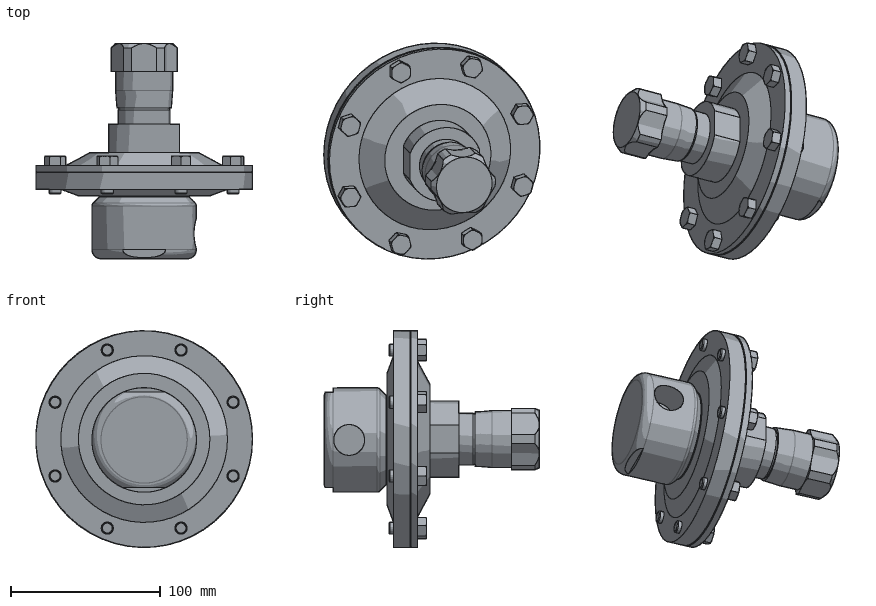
import cadquery as cq
import math


cap_radius = 34.9
cap_drop = 0.6
cap_face_rounding = 6.1
cap_back_rounding = 3.0
cap_bevel_start = 37.4
cap_bevel_end = 41.3
cap_flat_height = 31.9
port_radius = 10.3
port_y = 16.8
port_depth = 2 * port_radius

flange_radius = 72.4
pad_y = 42.0
pad_radius = 43.9
body_cone_radius = 55.6
body_y = 46.3
gasket_y = 57.5
gasket_thickness = 0.6
gasket_radius = 72.0
plate_y = gasket_y + gasket_thickness
plate_back_y = 62.4
cover_cone_radius = 52.1
cover_top_radius = 36.5

collar_y = 70.8
collar_radius = 25.5
collar_half_width = 23.7
neck_y = 89.9
neck_radius = 17.4
neck_chamfer_length = 1.3
neck_chamfer = 0.7
sleeve_y = 100.8
sleeve_end_radius = 18.2
sleeve_radius = 19.1
sleeve_taper_end = 112.2
nut_y = 125.0
nut_end_y = 143.8

nut_radius = 22.2
nut_chamfer = 3.0
nut_sides = 6
scallop_depth_radius = 19.3
land_half_angle = 8.0

bolt_count = 8
bolt_circle_radius = 64.3
bolt_first_angle = 22.5
bolt_radius = 4.0
bolt_tip_chamfer = 0.7
bolt_protrusion = 3.0
head_corner_radius = 7.2
head_height = 6.1
head_chamfer = 0.6
head_turn = 22.5


def revolve_about_y(outline):
    """Turn a closed (radius, Y) outline around the Y axis."""
    return outline.revolve(360, (0, 0, 0), (0, 1, 0))


def cylinder_y(radius, y_start, y_end):
    """Cylinder on the Y axis between two Y positions."""
    plane = cq.Workplane("XZ", origin=(0, y_start, 0))
    return plane.circle(radius).extrude(y_start - y_end)


def make_cap():
    """Rounded cap with a bevelled back, two flats and a side port."""
    diagonal = math.sqrt(0.5)
    bevel_radius = cap_radius - cap_back_rounding * (1 - diagonal)
    rounding_start = cap_bevel_start - cap_back_rounding * diagonal
    neck = bevel_radius - (cap_bevel_end - cap_bevel_start)
    outline = (
        cq.Workplane("XY")
        .lineTo(cap_radius - cap_face_rounding, 0)
        .radiusArc((cap_radius, cap_face_rounding), -cap_face_rounding)
        .lineTo(cap_radius, rounding_start)
        .radiusArc((bevel_radius, cap_bevel_start), -cap_back_rounding)
        .lineTo(neck, cap_bevel_end)
        .lineTo(neck, body_y)
        .lineTo(0, body_y)
        .close()
    )
    cap = revolve_about_y(outline)
    for side in (1, -1):
        flat_cut = cq.Workplane("XY").box(
            2 * cap_radius, cap_face_rounding, cap_radius, centered=(True, False, True)
        )
        cap = cap.cut(flat_cut.translate((0, 0, side * (cap_flat_height + cap_radius / 2))))
    port_floor = cap_radius - port_depth
    port = cq.Workplane("YZ", origin=(port_floor, port_y, 0)).circle(port_radius).extrude(2 * port_depth)
    return cap.cut(port).translate((0, 0, -cap_drop))


def make_flanges():
    """Body flange, recessed gasket and cover plate with their conical hubs."""
    outline = cq.Workplane("XY").polyline([
        (0, pad_y),
        (pad_radius, pad_y),
        (body_cone_radius, body_y),
        (flange_radius, body_y),
        (flange_radius, gasket_y),
        (gasket_radius, gasket_y),
        (gasket_radius, plate_y),
        (flange_radius, plate_y),
        (flange_radius, plate_back_y),
        (cover_cone_radius, plate_back_y),
        (cover_top_radius, collar_y),
        (0, collar_y),
    ]).close()
    return revolve_about_y(outline)


def make_collar():
    """Round collar with a flat on each X side."""
    collar = cylinder_y(collar_radius, collar_y, neck_y)
    length = neck_y - collar_y
    limits = cq.Workplane("XY", origin=(0, collar_y, 0)).box(
        2 * collar_half_width, length, 2 * collar_radius, centered=(True, False, True)
    )
    return collar.intersect(limits)


def make_stem():
    """Chamfered neck followed by the sleeve, which narrows towards the neck."""
    outline = (
        cq.Workplane("XY")
        .moveTo(0, neck_y)
        .lineTo(neck_radius, neck_y)
        .lineTo(neck_radius, sleeve_y - neck_chamfer_length)
        .lineTo(neck_radius - neck_chamfer, sleeve_y)
        .lineTo(sleeve_end_radius, sleeve_y)
        .lineTo(sleeve_radius, sleeve_taper_end)
        .lineTo(sleeve_radius, nut_y)
        .lineTo(0, nut_y)
        .close()
    )
    return revolve_about_y(outline)


def make_nut():
    """Chamfered round nut with six concave scallops; lands point along +X and -X."""
    nut = cylinder_y(nut_radius, nut_y, nut_end_y).faces(">Y").chamfer(nut_chamfer)
    half_angle = math.radians(180 / nut_sides - land_half_angle)
    half_chord = nut_radius * math.sin(half_angle)
    sagitta = nut_radius * math.cos(half_angle) - scallop_depth_radius
    scallop_radius = (half_chord**2 + sagitta**2) / (2 * sagitta)
    scallop = cylinder_y(scallop_radius, nut_y, nut_end_y)
    scallop = scallop.translate((0, 0, scallop_depth_radius + scallop_radius))
    for i in range(nut_sides):
        nut = nut.cut(scallop.rotate((0, 0, 0), (0, 1, 0), i * 360 / nut_sides))
    return nut


def make_bolt():
    """Bolt on the Y axis: chamfered tip in front of the body, hex head on the cover plate."""
    tip_y = body_y - bolt_protrusion
    shank = cylinder_y(bolt_radius, tip_y, plate_back_y).faces("<Y").chamfer(bolt_tip_chamfer)
    head = (
        cq.Workplane("XZ", origin=(0, plate_back_y, 0))
        .polygon(6, 2 * head_corner_radius)
        .extrude(-head_height)
    )
    envelope = cylinder_y(head_corner_radius, plate_back_y, plate_back_y + head_height)
    head = head.intersect(envelope.faces(">Y").chamfer(head_chamfer))
    return shank.union(head.rotate((0, 0, 0), (0, 1, 0), -head_turn))


result = make_flanges()
for section in (make_cap(), make_collar(), make_stem(), make_nut()):
    result = result.union(section)

bolt = make_bolt().translate((bolt_circle_radius, 0, 0))
for i in range(bolt_count):
    bolt_angle = bolt_first_angle + i * 360 / bolt_count
    result = result.union(bolt.rotate((0, 0, 0), (0, 1, 0), -bolt_angle))